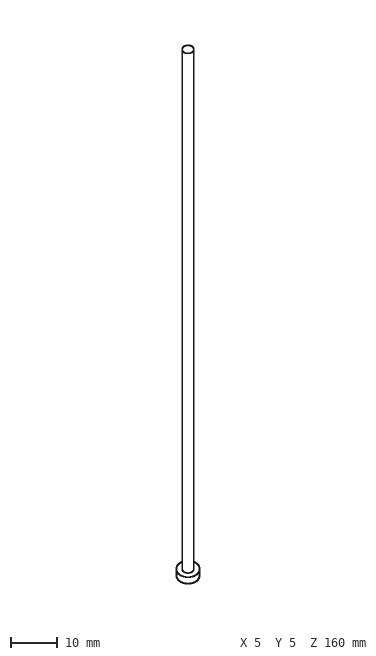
import cadquery as cq

total_length = 160.0
head_diameter = 5.0
head_height = 2.0
shank_diameter = 2.5

head = cq.Workplane("XY").circle(head_diameter / 2).extrude(head_height)
shank = cq.Workplane("XY").circle(shank_diameter / 2).extrude(total_length)

result = head.union(shank)